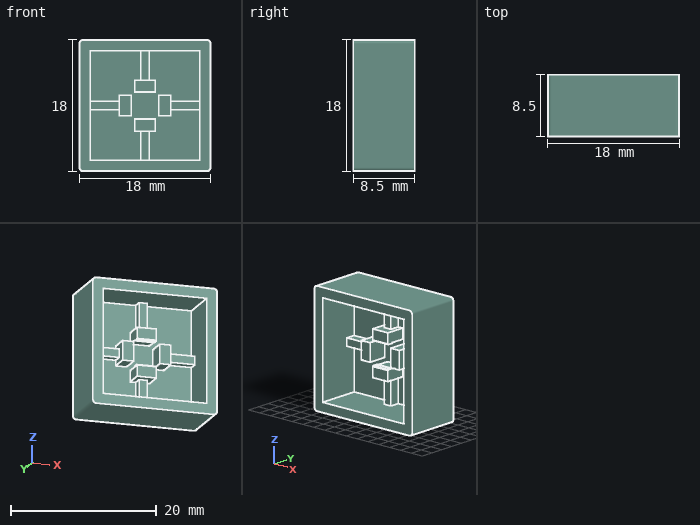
import cadquery as cq

side = 18.0
depth = 8.5
corner_radius = 0.5
cavity_side = 15.0
cavity_depth = 6.5
cavity_floor_y = cavity_depth - depth / 2

post_width = 2.8
post_height = 3.0
post_inner = 1.9
post_outer = 3.5
post_front_y = cavity_floor_y - post_height

rib_width = 1.2
rib_height = 1.5

ridge_height = 0.1
ridge_length = 1.0

post_count = 4
ridged_quarters = (0, 2)
quarter_turn = 360 / post_count


def make_shell():
    """Rounded square block with a square pocket open toward -Y."""
    block = cq.Workplane("XY").box(side, depth, side).edges("|Y").fillet(corner_radius)
    pocket = (
        cq.Workplane("XY")
        .box(cavity_side, cavity_depth, cavity_side)
        .translate((0, (cavity_depth - depth) / 2, 0))
    )
    return block.cut(pocket)


def make_post():
    """Post on the +Z side of the centre."""
    post_middle_z = (post_inner + post_outer) / 2
    return (
        cq.Workplane("XY")
        .box(post_width, post_height, post_outer - post_inner)
        .translate((0, cavity_floor_y - post_height / 2, post_middle_z))
    )


def make_rib():
    """Rib from the +Z post out to the cavity wall."""
    rib_end = cavity_side / 2
    return (
        cq.Workplane("XY")
        .box(rib_width, rib_height, rib_end - post_outer)
        .translate((0, cavity_floor_y - rib_height / 2, (post_outer + rib_end) / 2))
    )


def make_snap_ridge():
    """Ridge on the inner face of the +Z post, flat on top with 45 degree ends."""
    ridge_top_z = post_inner - ridge_height
    ridge_back_y = post_front_y + ridge_length
    return (
        cq.Workplane("YZ")
        .moveTo(post_front_y, post_inner)
        .lineTo(post_front_y + ridge_height, ridge_top_z)
        .lineTo(ridge_back_y - ridge_height, ridge_top_z)
        .lineTo(ridge_back_y, post_inner)
        .close()
        .extrude(post_width / 2, both=True)
    )


def turned(shape, quarter):
    """Copy of a shape turned about the Y axis through the centre."""
    return shape.rotate((0, 0, 0), (0, 1, 0), quarter * quarter_turn)


result = make_shell()
for quarter in range(post_count):
    result = result.union(turned(make_post(), quarter))
    result = result.union(turned(make_rib(), quarter))
for quarter in ridged_quarters:
    result = result.union(turned(make_snap_ridge(), quarter))